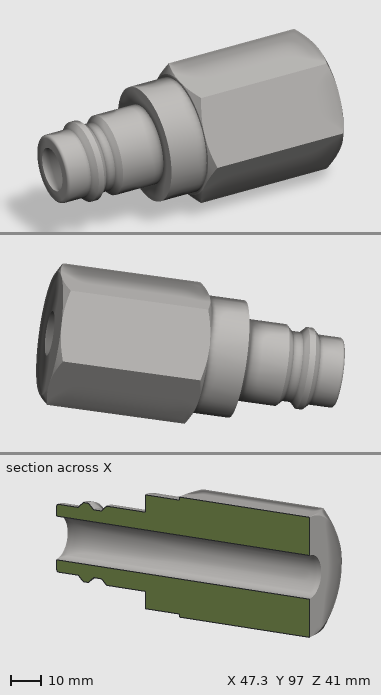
import cadquery as cq
import math

total_length = 97.0
across_flats = 41.0
across_corners = across_flats / math.cos(math.pi / 6)

hex_length = 50.0
hex_chamfer_angle = math.radians(30)
hex_face_radius = across_flats / 2
hex_chamfer_radial = across_corners / 2 - hex_face_radius
hex_chamfer_axial = hex_chamfer_radial * math.tan(hex_chamfer_angle)

collar_radius = 19.5
collar_length = 13.0
plug_radius = 13.6
plug_length = 14.8
groove_radius = 11.6
groove_floor_length = 3.0
shoulder_length = 1.9
rim_length = 2.0
tip_round_radius = 1.0

bore_radius = 7.4

hex_back = total_length / 2
hex_front = hex_back - hex_length
tip_end = -total_length / 2
collar_end = hex_front - collar_length
plug_end = collar_end - plug_length
groove_start = plug_end - shoulder_length
groove_end = groove_start - groove_floor_length
rim_start = groove_end - shoulder_length
rim_end = rim_start - rim_length
nose_start = rim_end - shoulder_length


def revolve_about_y(points):
    """Revolve a closed (radius, y) outline around the Y axis."""
    return cq.Workplane("XY").polyline(points).close().revolve(360, (0, 0, 0), (0, 1, 0))


def make_hex_body():
    """Hexagonal prism with corners on X, its corners turned off conically at both ends."""
    prism = (
        cq.Workplane("XZ", origin=(0, hex_back, 0))
        .polygon(6, across_corners)
        .extrude(hex_length)
    )
    corner_radius = across_corners / 2
    envelope = revolve_about_y([
        (0, hex_front),
        (hex_face_radius, hex_front),
        (corner_radius, hex_front + hex_chamfer_axial),
        (corner_radius, hex_back - hex_chamfer_axial),
        (hex_face_radius, hex_back),
        (0, hex_back),
    ])
    return prism.intersect(envelope)


def make_plug():
    """Collar, grooved plug and nose with a rounded end edge."""
    plug = revolve_about_y([
        (0, hex_front),
        (collar_radius, hex_front),
        (collar_radius, collar_end),
        (plug_radius, collar_end),
        (plug_radius, plug_end),
        (groove_radius, groove_start),
        (groove_radius, groove_end),
        (plug_radius, rim_start),
        (plug_radius, rim_end),
        (groove_radius, nose_start),
        (groove_radius, tip_end),
        (0, tip_end),
    ])
    return plug.faces("<Y").edges().fillet(tip_round_radius)


def make_bore():
    """Straight bore through the full length."""
    return cq.Workplane("XZ", origin=(0, hex_back, 0)).circle(bore_radius).extrude(total_length)


result = make_hex_body().union(make_plug()).cut(make_bore())